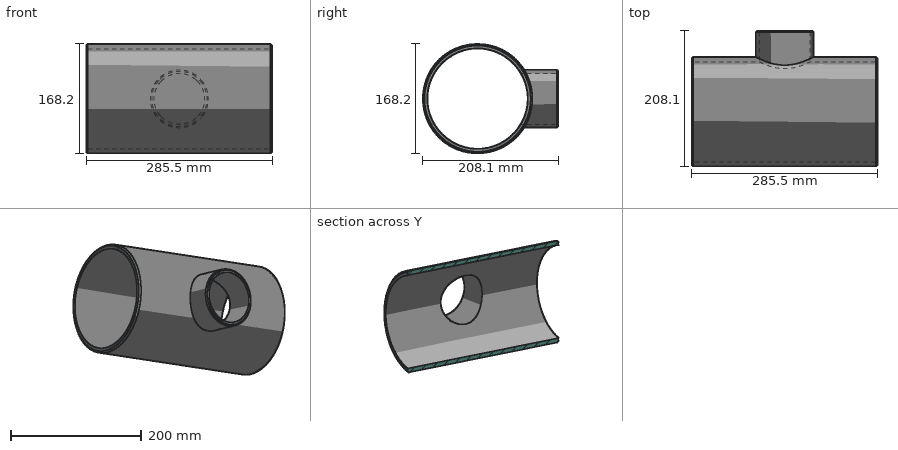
import cadquery as cq

run_length = 285.5
run_diameter = 168.2
run_wall = 7.0

branch_reach = 124.0
branch_diameter = 88.8
branch_wall = 5.5

run_bevel_depth = 2.5
run_bevel_length = 2.5
branch_bevel_depth = 2.0
branch_bevel_length = 2.0


def run_solid():
    """Solid run cylinder with both ends bevelled."""
    radius = run_diameter / 2
    half = run_length / 2
    end_radius = radius - run_bevel_depth
    profile = [
        (-half, 0),
        (-half, end_radius),
        (-half + run_bevel_length, radius),
        (half - run_bevel_length, radius),
        (half, end_radius),
        (half, 0),
    ]
    return cq.Workplane("XY").polyline(profile).close().revolve(360, (0, 0, 0), (1, 0, 0))


def branch_solid():
    """Solid branch cylinder from the run axis to its bevelled end."""
    radius = branch_diameter / 2
    profile = [
        (0, 0),
        (radius, 0),
        (radius, branch_reach - branch_bevel_length),
        (radius - branch_bevel_depth, branch_reach),
        (0, branch_reach),
    ]
    return cq.Workplane("XY").polyline(profile).close().revolve(360, (0, 0, 0), (0, 1, 0))


run_bore = cq.Workplane("YZ").circle(run_diameter / 2 - run_wall).extrude(run_length / 2, both=True)
branch_bore = cq.Workplane("XZ").circle(branch_diameter / 2 - branch_wall).extrude(-branch_reach)

result = run_solid().union(branch_solid()).cut(run_bore).cut(branch_bore)